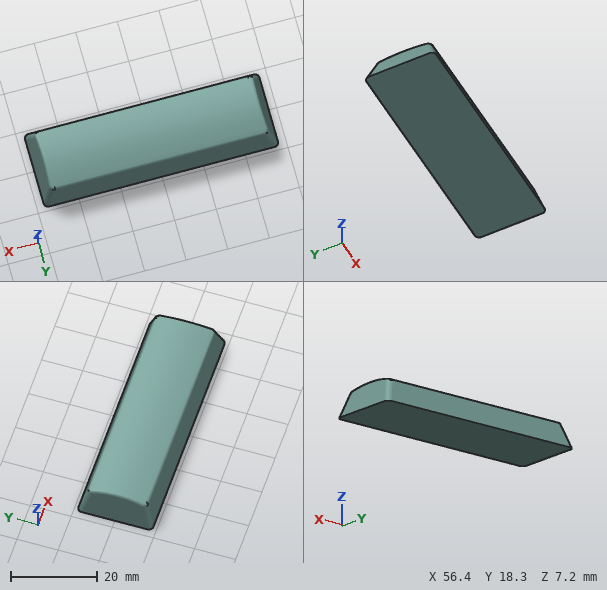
import cadquery as cq
import math

length = 56.4
width = 18.3
height = 7.2

wall_draft = 17.5
crown_radius = 24.8
corner_radius = 1.25
rim_radius = 0.7


def drafted_block():
    """Rectangular block with inward leaning walls and rounded corner edges."""
    inset = height * math.tan(math.radians(wall_draft))
    block = (
        cq.Workplane("XY")
        .rect(length, width)
        .workplane(offset=height)
        .rect(length - 2 * inset, width - 2 * inset)
        .loft(ruled=True)
    )
    leaning_edges = block.edges("not(#Z)")
    return leaning_edges.fillet(corner_radius)


def crown_cylinder():
    """Cylinder along X whose highest line is the ridge of the curved top."""
    return (
        cq.Workplane("YZ")
        .center(0, height - crown_radius)
        .circle(crown_radius)
        .extrude(length / 2, both=True)
    )


def round_rim(body):
    """Round the edge loop where the curved top meets the walls."""
    return body.faces(">Z").edges().fillet(rim_radius)


result = round_rim(drafted_block().intersect(crown_cylinder()))